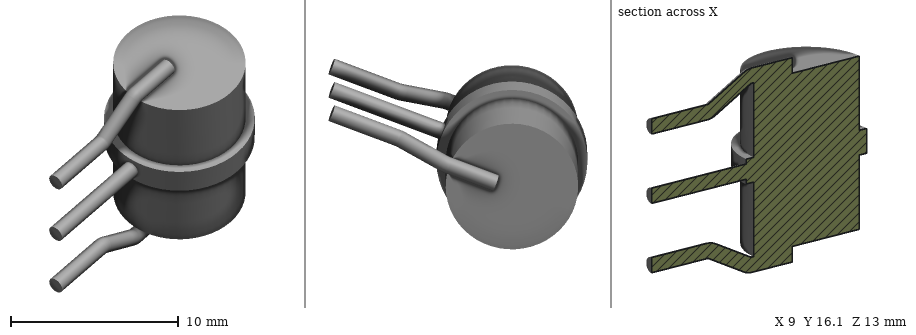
import cadquery as cq
import math

body_diameter = 7.9
flange_diameter = 9.0
flange_height = 1.6

wire_diameter = 1.0
wire_radius = wire_diameter / 2
lead_end_y = -11.55
lead_pitch = 4.4

seat_height = 6.0
seat_overlap = 0.01
lead_start_y = -1.05
step_start_y = -4.25
step_end_y = -7.2
bend_radius = 0.7
step_angle = math.atan2(seat_height - lead_pitch, step_start_y - step_end_y)

body_height = 2 * (seat_height - wire_radius + seat_overlap)


def make_body():
    core = cq.Workplane("XY").circle(body_diameter / 2).extrude(body_height / 2, both=True)
    flange = cq.Workplane("XY").circle(flange_diameter / 2).extrude(flange_height / 2, both=True)
    return core.union(flange)


def make_middle_lead():
    """Straight wire running from the body axis out through the flange."""
    return cq.Workplane("XZ").circle(wire_radius).extrude(-lead_end_y)


def make_upper_lead():
    """Wire seated on the top face with a bent step down to the lead pitch."""
    tangent_length = bend_radius * math.tan(step_angle / 2)
    tangent_y = tangent_length * math.cos(step_angle)
    tangent_z = tangent_length * math.sin(step_angle)
    bend_mid_y = bend_radius * math.sin(step_angle / 2) - tangent_length
    bend_mid_z = bend_radius * (1 - math.cos(step_angle / 2))

    path = (
        cq.Workplane("YZ")
        .moveTo(lead_start_y, seat_height)
        .lineTo(step_start_y + tangent_length, seat_height)
        .threePointArc(
            (step_start_y - bend_mid_y, seat_height - bend_mid_z),
            (step_start_y - tangent_y, seat_height - tangent_z),
        )
        .lineTo(step_end_y + tangent_y, lead_pitch + tangent_z)
        .threePointArc(
            (step_end_y + bend_mid_y, lead_pitch + bend_mid_z),
            (step_end_y - tangent_length, lead_pitch),
        )
        .lineTo(lead_end_y, lead_pitch)
    )
    section = cq.Workplane("XZ", origin=(0, lead_start_y, seat_height)).circle(wire_radius)
    return section.sweep(path)


upper_lead = make_upper_lead()
lower_lead = upper_lead.mirror("XY")
result = make_body().union(make_middle_lead()).union(upper_lead).union(lower_lead)